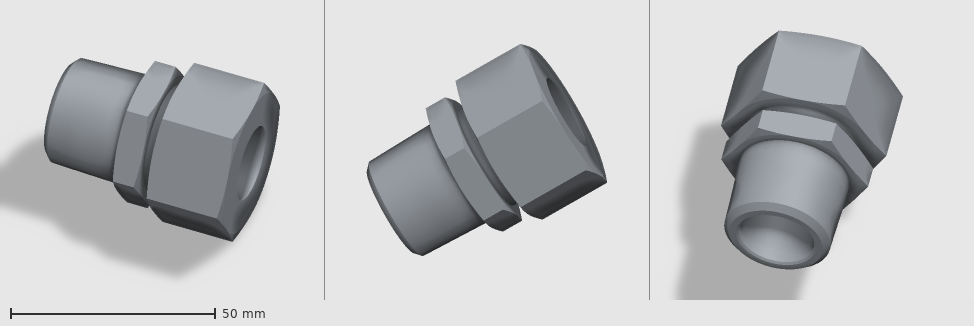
import cadquery as cq
import math

total_length = 50.0
nut_length = 20.0
nut_start = total_length - nut_length
body_hex_start = 20.2
body_hex_end = 27.0

nut_flats = 36.0
body_hex_flats = 32.0
hex_chamfer_angle = 15.0

stub_root_radius = 13.95
stub_tip_radius = 13.35
stub_chamfer_length = 1.5
stub_face_radius = 11.75

neck_radius = 13.5
neck_end = 30.6
shank_radius = 15.0
shank_cone_angle = 30.0
shank_cone_length = (shank_radius - neck_radius) / math.tan(math.radians(shank_cone_angle))

bore_radius = 9.5
bore_mouth_radius = 10.0
bore_chamfer_length = 0.5


def revolved(profile):
    """Turn a closed (x, radius) profile about the X axis."""
    return cq.Workplane("XY").polyline(profile).close().revolve(360, (0, 0, 0), (1, 0, 0))


def hex_prism(start, end, flats):
    """Hexagon along X with corners on +Y and -Y and both ends chamfered by a cone."""
    corner_radius = flats / math.sqrt(3)
    flat_radius = flats / 2
    chamfer_length = (corner_radius - flat_radius) * math.tan(math.radians(hex_chamfer_angle))
    prism = (
        cq.Workplane("YZ", origin=(start, 0, 0))
        .polygon(6, 2 * corner_radius)
        .extrude(end - start)
    )
    envelope = revolved([
        (start, 0),
        (start, flat_radius),
        (start + chamfer_length, corner_radius),
        (end - chamfer_length, corner_radius),
        (end, flat_radius),
        (end, 0),
    ])
    return prism.intersect(envelope)


def make_body():
    """Connector: chamfered tapered stub, hexagon, neck and shank with a through bore."""
    turned = revolved([
        (0, 0),
        (0, stub_face_radius),
        (stub_chamfer_length, stub_tip_radius),
        (body_hex_start, stub_root_radius),
        (body_hex_start, neck_radius),
        (neck_end, neck_radius),
        (neck_end + shank_cone_length, shank_radius),
        (total_length, shank_radius),
        (total_length, 0),
    ])
    bore = revolved([
        (0, 0),
        (0, bore_mouth_radius),
        (bore_chamfer_length, bore_radius),
        (total_length, bore_radius),
        (total_length, 0),
    ])
    return turned.union(hex_prism(body_hex_start, body_hex_end, body_hex_flats)).cut(bore)


def make_nut():
    """Union nut that surrounds the shank and leaves a gap around the neck."""
    shank_hole = cq.Workplane("YZ", origin=(nut_start, 0, 0)).circle(shank_radius).extrude(nut_length)
    return hex_prism(nut_start, total_length, nut_flats).cut(shank_hole)


body = make_body()
nut = make_nut()

result = cq.Compound.makeCompound([body.val(), nut.val()])